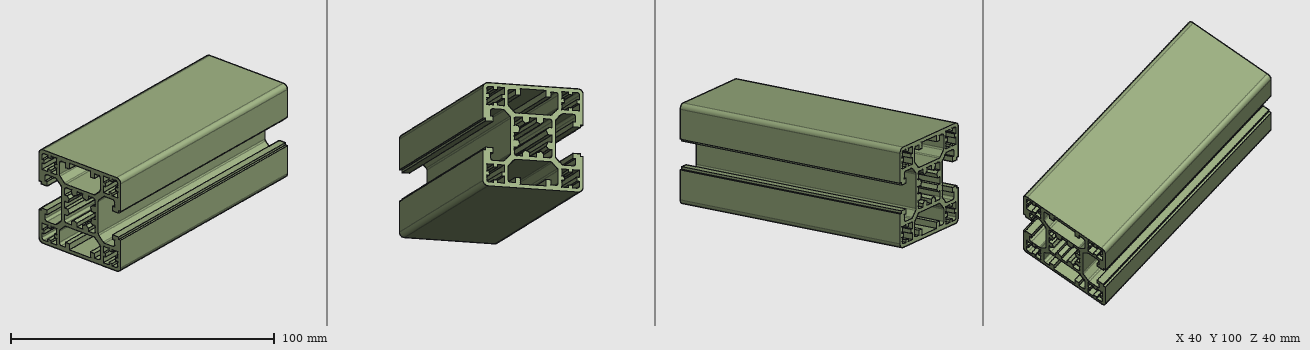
import cadquery as cq
import math

length = 100.0
width = 40.0
half = width / 2
outer_radius = 2.0
inner_radius = 1.0
wall = 1.5
diagonal_wall = 2.5
quarter_turns = (0, 90, 180, 270)

cell_size = 7.0
cell_center = half - wall - cell_size / 2
cell_rib_width = 1.6
cell_rib_height = 1.0

space_half_width = half - wall - cell_size - wall
space_floor = 9.0
bevel_offset = diagonal_wall / math.sqrt(2)
floor_half_width = space_floor - bevel_offset
bevel_top = space_half_width + bevel_offset
mouth_half_width = 5.1
lip_width = 2.0
lip_level = 16.0
slot_shoulder = 17.0
chamber_shoulder = 18.0
chamber_roof = half - wall
step_half_width = 6.1
step_depth = 1.0

core_half = space_floor - wall
core_bore_radius = 6.0
core_rib_width = 2.8
core_rib_gap = 2.8
core_rib_bevel_level = 6.2


def prism(outline):
    """Extrude a closed XZ outline over the full length, centred on Y = 0."""
    return outline.extrude(length / 2, both=True)


def turned(shape, angle):
    """Turn a shape about the long axis of the profile."""
    return shape.rotate((0, 0, 0), (0, 1, 0), angle)


def corner_cell():
    """Hollow of the +X +Z corner tube, with one rib on each wall."""
    cell = prism(cq.Workplane("XZ").rect(cell_size, cell_size))
    cell = cell.edges("|Y and >X and >Z").fillet(inner_radius)
    rib_center = (cell_size - cell_rib_height) / 2
    rib = prism(cq.Workplane("XZ").center(0, rib_center).rect(cell_rib_width, cell_rib_height))
    for angle in quarter_turns:
        cell = cell.cut(turned(rib, angle))
    return cell.translate((cell_center, 0, cell_center))


def t_space(shoulder, mouth_level):
    """T-shaped space above the core, narrowed between two lips up to mouth_level."""
    lip_outer = mouth_half_width + lip_width
    rounding_mid = inner_radius * (1 - math.sqrt(0.5))
    outline = (
        cq.Workplane("XZ")
        .moveTo(0, space_floor)
        .lineTo(floor_half_width, space_floor)
        .lineTo(space_half_width, bevel_top)
        .lineTo(space_half_width, shoulder - inner_radius)
        .threePointArc(
            (space_half_width - rounding_mid, shoulder - rounding_mid),
            (space_half_width - inner_radius, shoulder),
        )
        .lineTo(lip_outer, shoulder)
        .lineTo(lip_outer, lip_level)
        .lineTo(mouth_half_width, lip_level)
        .lineTo(mouth_half_width, mouth_level)
        .lineTo(0, mouth_level)
        .close()
    )
    right_half = prism(outline)
    for corner in ((floor_half_width, 0, space_floor), (space_half_width, 0, bevel_top)):
        right_half = right_half.edges(cq.selectors.NearestToPointSelector(corner)).fillet(inner_radius)
    return right_half.union(right_half.mirror("YZ"))


def closed_chamber():
    """Hollow between the core and the top face."""
    return t_space(chamber_shoulder, chamber_roof)


def open_slot():
    """Slot that opens through the face, with a shallow step along its mouth."""
    step_center = half - step_depth / 2
    step = prism(cq.Workplane("XZ").center(0, step_center).rect(2 * step_half_width, step_depth))
    return t_space(slot_shoulder, half).union(step)


def core_rib():
    """Rib right of centre on the upper core wall, bevelled at 45 degrees on its outer side."""
    inner_x = core_rib_gap / 2
    outer_x = inner_x + core_rib_width
    return prism(
        cq.Workplane("XZ")
        .moveTo(inner_x, core_half)
        .lineTo(outer_x, core_half)
        .lineTo(outer_x, core_rib_bevel_level)
        .lineTo(inner_x, core_rib_bevel_level - core_rib_width)
        .close()
    )


def core_hollow():
    """Square hollow of the central tube, with two ribs per wall trimmed by the bore."""
    hollow = prism(cq.Workplane("XZ").rect(2 * core_half, 2 * core_half))
    hollow = hollow.edges("|Y").fillet(inner_radius)
    rib_pair = core_rib().union(core_rib().mirror("YZ"))
    for angle in quarter_turns:
        hollow = hollow.cut(turned(rib_pair, angle))
    bore = prism(cq.Workplane("XZ").circle(core_bore_radius))
    return hollow.union(bore)


body = prism(cq.Workplane("XZ").rect(width, width)).edges("|Y").fillet(outer_radius)
body = body.cut(core_hollow())
for angle in quarter_turns:
    body = body.cut(turned(corner_cell(), angle))
for angle in (0, 180):
    body = body.cut(turned(closed_chamber(), angle))
for angle in (90, 270):
    body = body.cut(turned(open_slot(), angle))

result = body